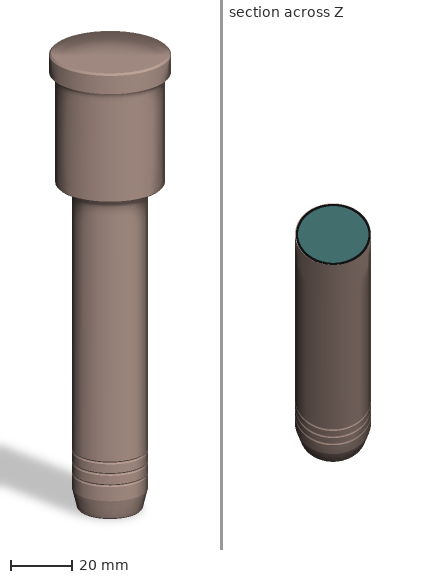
import cadquery as cq

total_length = 160.0
head_height = 7.0
collar_bottom = 114.0
nose_height = 7.0

head_radius = 20.0
collar_radius = 18.0
shank_radius = 12.5
tip_radius = 10.9

head_chamfer = 0.6
collar_chamfer = 0.5
tip_chamfer = 0.5
relief_width = 1.0
relief_depth = 0.5
groove_width = 1.0
groove_depth = 0.5
groove_count = 3
groove_pitch = 4.0
lowest_groove_center = 12.5

head_bottom = total_length - head_height


def cylinder(radius, bottom, top):
    return cq.Workplane("XY").workplane(offset=bottom).circle(radius).extrude(top - bottom)


def ring_cut(outer_radius, depth, bottom, width):
    """Ring that removes a square-cornered relief from a cylinder."""
    outer = cylinder(outer_radius, bottom, bottom + width)
    return outer.cut(cylinder(outer_radius - depth, bottom, bottom + width))


def vee_groove(shaft_radius, center_height):
    """Ring of diamond section that removes a V-shaped groove from a cylinder."""
    half_width = groove_width / 2
    return (
        cq.Workplane("XZ")
        .moveTo(shaft_radius - groove_depth, center_height)
        .lineTo(shaft_radius, center_height - half_width)
        .lineTo(shaft_radius + groove_depth, center_height)
        .lineTo(shaft_radius, center_height + half_width)
        .close()
        .revolve(360, (0, 0, 0), (0, 1, 0))
    )


def make_nose():
    """Tapered lead-in at the bottom of the shank."""
    return (
        cq.Workplane("XZ")
        .lineTo(tip_radius - tip_chamfer, 0)
        .lineTo(tip_radius, tip_chamfer)
        .lineTo(shank_radius, nose_height)
        .lineTo(0, nose_height)
        .close()
        .revolve(360, (0, 0, 0), (0, 1, 0))
    )


head = cylinder(head_radius, head_bottom, total_length).faces(">Z").chamfer(head_chamfer)
collar = cylinder(collar_radius, collar_bottom, head_bottom).faces("<Z").chamfer(collar_chamfer)
shank = cylinder(shank_radius, nose_height, collar_bottom)

collar = collar.cut(vee_groove(collar_radius, head_bottom - groove_width / 2))
shank = shank.cut(ring_cut(shank_radius, relief_depth, collar_bottom - relief_width, relief_width))

for index in range(groove_count):
    groove_height = lowest_groove_center + index * groove_pitch
    shank = shank.cut(vee_groove(shank_radius, groove_height))

result = head.union(collar).union(shank).union(make_nose())